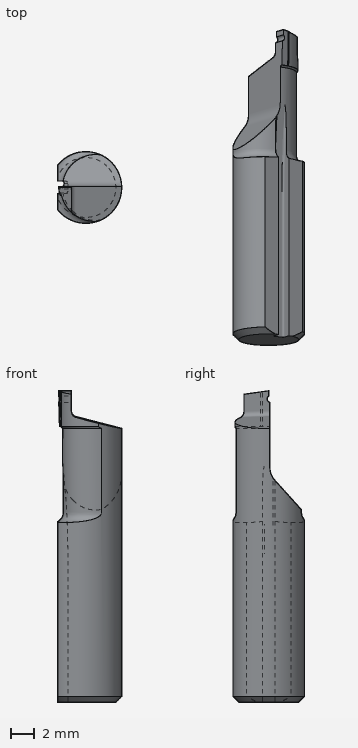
import cadquery as cq
import math

total_length = 26.0
shank_radius = 3.0
flat_x = -2.35
foot_chamfer = 0.5

neck_axis_x = 0.8
neck_radius = 2.75
shoulder_z = 15.0
flare_radius = 0.8

head_axis_x = 0.72
head_radius = 2.83
head_bottom_z = 23.0
head_step_height = 0.15

tooth_lean = 0.09
tooth_tip_x = -2.21
tooth_land_x = -2.12
tooth_land_y = -0.52
tooth_heel_x = -2.03
tooth_heel_y = -0.68
tooth_back_x = -1.2
tooth_root_z = 23.95
tooth_root_fillet = 0.48
top_relief_angle = 8.0

slope_angle = 14.5
slope_tilt = 2.0

rake_y = 0.1
runout_start_z = 19.6
runout_radius = 1.6
runout_angle = 42.0

edge_y = 0.0
edge_land_bottom_z = 25.55
chip_groove_bottom_z = 25.03
chip_groove_floor_y = -0.12

slot_width = 1.04
slot_floor_x = -1.5
slot_floor_fillet = 0.17
slot_bend_z = 12.4
slot_exit_z = 19.9
slot_overrun = 1.0

margin = 5.0


def make_shank():
    bar = cq.Workplane("XY").circle(shank_radius).extrude(total_length)
    bar = bar.faces("<Z").chamfer(foot_chamfer)
    flat_cutter = (
        cq.Workplane("XY")
        .box(margin, 2 * margin, total_length, centered=(False, True, False))
        .translate((flat_x - margin, 0, 0))
    )
    return bar.cut(flat_cutter)


def make_tooth_profile(z, shift):
    """Closed tooth outline at height z, with its outer corners moved by shift toward -X."""
    return (
        cq.Workplane("XY", origin=(0, 0, z))
        .moveTo(tooth_tip_x - shift, rake_y)
        .lineTo(tooth_land_x - shift, tooth_land_y)
        .lineTo(tooth_heel_x - shift, tooth_heel_y)
        .lineTo(head_axis_x, tooth_heel_y)
        .lineTo(head_axis_x, rake_y)
        .close()
        .val()
    )


def make_envelope():
    """Space that the neck and head may fill, plus everything below the shoulder."""
    neck_bottom_z = shoulder_z + flare_radius
    neck_top_z = head_bottom_z - head_step_height
    flare_outer = neck_radius + flare_radius
    arc_mid_r = flare_outer - flare_radius * math.cos(math.radians(45))
    arc_mid_z = neck_bottom_z - flare_radius * math.sin(math.radians(45))
    neck = (
        cq.Workplane("XZ")
        .lineTo(2 * margin, 0)
        .lineTo(2 * margin, shoulder_z)
        .lineTo(flare_outer, shoulder_z)
        .threePointArc((arc_mid_r, arc_mid_z), (neck_radius, neck_bottom_z))
        .lineTo(neck_radius, neck_top_z)
        .lineTo(0, neck_top_z)
        .close()
        .revolve(360, (0, 0, 0), (0, 1, 0))
        .translate((neck_axis_x, 0, 0))
    )
    step = (
        cq.Workplane("XY", origin=(neck_axis_x, 0, neck_top_z))
        .circle(neck_radius)
        .workplane(offset=head_step_height)
        .center(head_axis_x - neck_axis_x, 0)
        .circle(head_radius)
        .loft(ruled=True)
    )
    head_height = total_length - head_bottom_z
    head = (
        cq.Workplane("XY", origin=(head_axis_x, 0, head_bottom_z))
        .circle(head_radius)
        .extrude(head_height)
    )
    tooth_foot = make_tooth_profile(head_bottom_z, 0)
    tooth_top = make_tooth_profile(total_length, tooth_lean)
    tooth = cq.Workplane(cq.Solid.makeLoft([tooth_foot, tooth_top], True))
    return neck.union(step).union(head).union(tooth)


def make_back_cutter():
    """Clears the space behind the tooth, down to a face falling toward +X."""
    far_x = shank_radius + margin
    slope_drop = (far_x - tooth_back_x) * math.tan(math.radians(slope_angle))
    cutter = (
        cq.Workplane("XZ", origin=(0, margin, 0))
        .moveTo(tooth_back_x, total_length + margin)
        .lineTo(tooth_back_x, tooth_root_z)
        .lineTo(far_x, tooth_root_z - slope_drop)
        .lineTo(far_x, total_length + margin)
        .close()
        .extrude(2 * margin)
    )
    root_point = (tooth_back_x, 0, tooth_root_z)
    cutter = cutter.edges(cq.selectors.NearestToPointSelector(root_point)).fillet(tooth_root_fillet)
    pivot = (tooth_back_x, rake_y, tooth_root_z)
    pivot_end = (tooth_back_x + 1, rake_y, tooth_root_z)
    return cutter.rotate(pivot, pivot_end, slope_tilt)


def make_top_relief_cutter():
    """Tilts the top face so that it falls away from the cutting edge toward -Y."""
    relief_drop = margin * math.tan(math.radians(top_relief_angle))
    return (
        cq.Workplane("YZ", origin=(-margin, 0, 0))
        .moveTo(edge_y, total_length)
        .lineTo(edge_y - margin, total_length - relief_drop)
        .lineTo(edge_y - margin, total_length + margin)
        .lineTo(edge_y, total_length + margin)
        .close()
        .extrude(2 * margin)
    )


def make_rake_cutter():
    angle = math.radians(runout_angle)
    half_angle = angle / 2
    arc_mid = (
        rake_y + runout_radius * (1 - math.cos(half_angle)),
        runout_start_z - runout_radius * math.sin(half_angle),
    )
    arc_end = (
        rake_y + runout_radius * (1 - math.cos(angle)),
        runout_start_z - runout_radius * math.sin(angle),
    )
    far_y = shank_radius + margin
    far_z = arc_end[1] - (far_y - arc_end[0]) / math.tan(angle)
    groove_mid_z = (edge_land_bottom_z + chip_groove_bottom_z) / 2
    return (
        cq.Workplane("YZ", origin=(-margin, 0, 0))
        .moveTo(edge_y, total_length + margin)
        .lineTo(edge_y, edge_land_bottom_z)
        .threePointArc((chip_groove_floor_y, groove_mid_z), (rake_y, chip_groove_bottom_z))
        .lineTo(rake_y, runout_start_z)
        .threePointArc(arc_mid, arc_end)
        .lineTo(far_y, far_z)
        .lineTo(far_y, total_length + margin)
        .close()
        .extrude(2 * margin)
    )


def make_slot_cutter():
    """Straight slot whose floor curves outward until it leaves the neck surface."""
    exit_x = neck_axis_x - neck_radius
    rise = slot_floor_x - exit_x
    run = slot_exit_z - slot_bend_z
    arc_radius = (run**2 + rise**2) / (2 * rise)
    top_angle = math.asin((run + slot_overrun) / arc_radius)

    def floor_point(angle):
        x = slot_floor_x - arc_radius * (1 - math.cos(angle))
        return x, slot_bend_z + arc_radius * math.sin(angle)

    far_x = -margin
    top = floor_point(top_angle)
    cutter = (
        cq.Workplane("XZ", origin=(0, slot_width / 2, 0))
        .moveTo(far_x, -margin)
        .lineTo(slot_floor_x, -margin)
        .lineTo(slot_floor_x, slot_bend_z)
        .threePointArc(floor_point(top_angle / 2), top)
        .lineTo(far_x, top[1])
        .close()
        .extrude(slot_width)
    )
    floor_edges = cq.selectors.BoxSelector(
        (exit_x, -slot_width, -margin), (slot_floor_x + rise, slot_width, slot_exit_z)
    )
    return cutter.edges(floor_edges).edges("not |Y").fillet(slot_floor_fillet)


result = make_shank().intersect(make_envelope())
result = result.cut(make_back_cutter())
result = result.cut(make_top_relief_cutter())
result = result.cut(make_rake_cutter())
result = result.cut(make_slot_cutter())